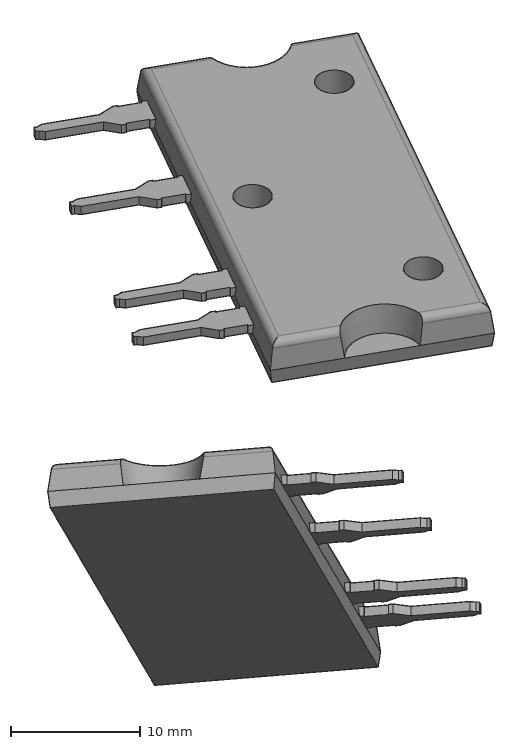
import cadquery as cq

BODY_LENGTH = 38.1
BODY_WIDTH = 18.05
OVERALL_WIDTH = 27.33
BODY_HEIGHT = 3.81
BASE_HEIGHT = 1.3
COVER_HEIGHT = BODY_HEIGHT - BASE_HEIGHT
DRAFT_ANGLE = 7
COVER_FILLET = 0.68

GRID = 2.54
WELL_DIAMETER = 3.05
WELL_CENTRES = [(-5 * GRID, 2 * GRID), (5 * GRID, 2 * GRID), (0, -2 * GRID)]

NOTCH_FLOOR_RADIUS = 3.12
NOTCH_TOP_RADIUS = 3.52
NOTCH_OFFSET = 0.7

PIN_POSITIONS = [-6 * GRID, -2 * GRID, 3 * GRID, 5 * GRID]
PIN_THICKNESS = 0.8
PIN_SHOULDER_WIDTH = GRID
PIN_WAIST_WIDTH = 2.3
PIN_LEG_WIDTH = 1.02
PIN_TIP_WIDTH = 0.56
PIN_END_Y = BODY_WIDTH / 2 - OVERALL_WIDTH
PIN_TIP_LENGTH = 0.26
PIN_LEG_START = 0.7
PIN_LEG_END = 5.36
PIN_SHOULDER_START = 6.62
PIN_WAIST_START = 7.0
PIN_WAIST_END = 8.92
PIN_HIDDEN_LENGTH = 1.0
PIN_ROOT = OVERALL_WIDTH - BODY_WIDTH + PIN_HIDDEN_LENGTH


def make_base():
    """Lower half of the body, narrowing downwards."""
    return (
        cq.Workplane("XY", origin=(0, 0, BASE_HEIGHT))
        .rect(BODY_LENGTH, BODY_WIDTH)
        .extrude(-BASE_HEIGHT, taper=DRAFT_ANGLE)
    )


def make_notch(side):
    """Cone that cuts a screw notch in the -X (side = -1) or +X (side = 1) end."""
    axis_x = side * (BODY_LENGTH / 2 + NOTCH_OFFSET)
    cone = cq.Solid.makeCone(
        NOTCH_FLOOR_RADIUS,
        NOTCH_TOP_RADIUS,
        COVER_HEIGHT,
        pnt=cq.Vector(axis_x, 0, BASE_HEIGHT),
    )
    return cq.Workplane(obj=cone)


def make_cover():
    """Upper half of the body, narrowing upwards, with rounded top edges, wells and notches."""
    cover = (
        cq.Workplane("XY", origin=(0, 0, BASE_HEIGHT))
        .rect(BODY_LENGTH, BODY_WIDTH)
        .extrude(COVER_HEIGHT, taper=DRAFT_ANGLE)
        .faces(">Z")
        .edges()
        .fillet(COVER_FILLET)
    )
    wells = (
        cq.Workplane("XY", origin=(0, 0, BASE_HEIGHT))
        .pushPoints(WELL_CENTRES)
        .circle(WELL_DIAMETER / 2)
        .extrude(COVER_HEIGHT)
    )
    cover = cover.cut(wells)
    for side in (-1, 1):
        cover = cover.cut(make_notch(side))
    return cover


def make_pin(x, cover):
    """Flat stepped pin lying on the parting plane, its root butting on the cover's sloping wall."""
    half_outline = [
        (PIN_TIP_WIDTH / 2, 0),
        (PIN_TIP_WIDTH / 2, PIN_TIP_LENGTH),
        (PIN_LEG_WIDTH / 2, PIN_LEG_START),
        (PIN_LEG_WIDTH / 2, PIN_LEG_END),
        (PIN_SHOULDER_WIDTH / 2, PIN_SHOULDER_START),
        (PIN_SHOULDER_WIDTH / 2, PIN_WAIST_START),
        (PIN_WAIST_WIDTH / 2, PIN_WAIST_START),
        (PIN_WAIST_WIDTH / 2, PIN_WAIST_END),
        (PIN_SHOULDER_WIDTH / 2, PIN_WAIST_END),
        (PIN_SHOULDER_WIDTH / 2, PIN_ROOT),
    ]
    mirrored_half = [(-across, along) for across, along in reversed(half_outline)]
    blank = (
        cq.Workplane("XY", origin=(x, PIN_END_Y, BASE_HEIGHT))
        .polyline(half_outline + mirrored_half)
        .close()
        .extrude(PIN_THICKNESS)
    )
    return blank.cut(cover)


base = make_base()
cover = make_cover()
pins = [make_pin(x, cover) for x in PIN_POSITIONS]

solids = [base.val(), cover.solids().val()]
solids += [pin.solids().val() for pin in pins]
result = cq.Compound.makeCompound(solids)